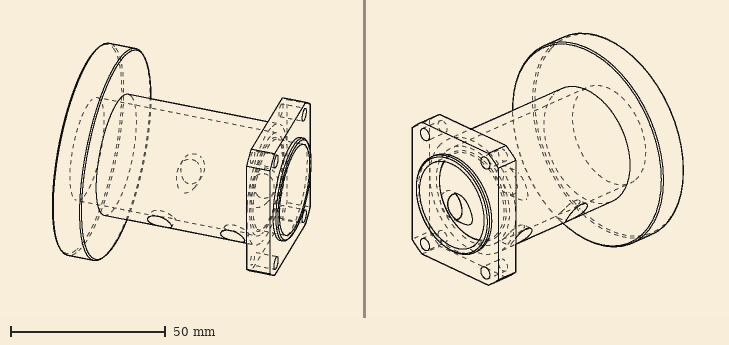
import cadquery as cq

flange_thickness = 10.0
plate_start = 61.5
plate_thickness = 8.0
plate_end = plate_start + plate_thickness
total_length = 71.0
spigot_length = total_length - plate_end

flange_diameter = 70.0
tube_diameter = 40.0
spigot_diameter = 34.0
edge_chamfer = 0.5

plate_width = tube_diameter
plate_height = 48.0
plate_corner_diameter = 57.0
screw_hole_diameter = 4.2
screw_spacing_y = 28.0
screw_spacing_z = 40.0

wide_bore_diameter = 34.0
wide_bore_depth = plate_start
narrow_bore_diameter = 30.0
shoulder_chamfer = 0.5

cross_hole_diameter = 8.0
cross_hole_spacing = 25.0
first_cross_hole_x = 30.5
cross_hole_z = -11.3
cross_hole_count = 2


def cylinder(diameter, start, length):
    """Cylinder on the part axis, running from x = start."""
    return cq.Workplane("YZ", origin=(start, 0, 0)).circle(diameter / 2).extrude(length)


def make_flange():
    return cylinder(flange_diameter, 0, flange_thickness).edges().chamfer(edge_chamfer)


def make_plate():
    """End plate with rounded corners and four screw holes."""
    block = (
        cq.Workplane("YZ", origin=(plate_start, 0, 0))
        .rect(plate_width, plate_height)
        .extrude(plate_thickness)
    )
    plate = block.intersect(cylinder(plate_corner_diameter, plate_start, plate_thickness))
    screw_holes = (
        cq.Workplane("YZ", origin=(plate_start, 0, 0))
        .rect(screw_spacing_y, screw_spacing_z, forConstruction=True)
        .vertices()
        .circle(screw_hole_diameter / 2)
        .extrude(plate_thickness)
    )
    return plate.cut(screw_holes)


def make_spigot():
    spigot = cylinder(spigot_diameter, plate_end, spigot_length)
    return spigot.faces(">X").edges().chamfer(edge_chamfer)


def make_bore():
    """Wide and narrow bores with a chamfered shoulder edge, as one solid of revolution."""
    wide_radius = wide_bore_diameter / 2
    narrow_radius = narrow_bore_diameter / 2
    return (
        cq.Workplane("XY")
        .moveTo(0, 0)
        .lineTo(0, wide_radius)
        .lineTo(wide_bore_depth, wide_radius)
        .lineTo(wide_bore_depth, narrow_radius + shoulder_chamfer)
        .lineTo(wide_bore_depth + shoulder_chamfer, narrow_radius)
        .lineTo(total_length, narrow_radius)
        .lineTo(total_length, 0)
        .close()
        .revolve(360, (0, 0, 0), (1, 0, 0))
    )


def make_cross_holes():
    hole_centres = [
        (first_cross_hole_x + index * cross_hole_spacing, cross_hole_z)
        for index in range(cross_hole_count)
    ]
    return (
        cq.Workplane("XZ")
        .pushPoints(hole_centres)
        .circle(cross_hole_diameter / 2)
        .extrude(tube_diameter / 2, both=True)
    )


tube = cylinder(tube_diameter, 0, plate_end)
body = make_flange().union(tube).union(make_plate()).union(make_spigot())
result = body.cut(make_bore()).cut(make_cross_holes())